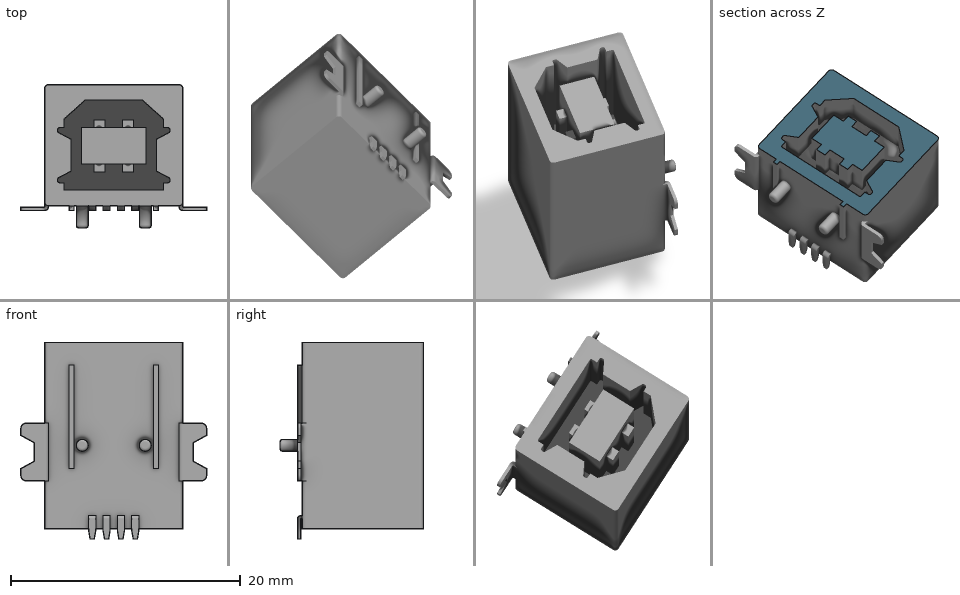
import cadquery as cq


body_width = 12.04
body_depth = 10.56
body_height = 16.25
body_edge_radius = 0.35

opening_depth = 9.0
opening_bottom = 1.35
opening_top = 9.23
opening_half_width = 4.34
opening_top_half_width = 2.47
shoulder_level = 7.55
bottom_corner_radius = 0.1

slot_middle = 4.4
slot_outer_offset = 2.4
slot_tip_offset = 2.0
slot_root_offset = 1.39
slot_tip_half_width = 4.89
slot_root_half_width = 3.72
slot_tip_radius = 0.17

tongue_width = 5.59
tongue_bottom = 3.64
tongue_top = 6.8
tongue_recess = 1.05
contact_width = 0.96
contact_pitch = 2.5
contact_thickness = 0.69
contact_recess = 3.0

sheet = 0.3
standoff = 0.12
sheet_outer_level = -(standoff + sheet)

tab_span = 16.2
tab_length = 5.05
tab_middle = 6.7
tab_corner_radius = 0.5
tab_leg = 0.35
tab_outer_bend_radius = tab_leg
tab_inner_bend_radius = 0.05
notch_depth = 1.17
notch_inner_length = 1.61
notch_outer_length = 2.9

rib_width = 0.43
rib_spacing = 7.34
rib_bottom = 5.25
rib_length = 9.02

peg_diameter = 1.05
peg_length = 1.94
peg_spacing = 5.49
peg_height = 7.29
peg_tip_radius = 0.24

pin_count = 4
pin_pitch = 1.25
pin_width = 0.63
pin_tip_width = 0.38
pin_top = 1.17
pin_taper_start = -0.14
overall_height = 17.15
pin_bottom = body_height - overall_height

embed = 0.17


def box(x_range, y_range, z_range):
    """Axis-aligned block between the given limits."""
    (x0, x1), (y0, y1), (z0, z1) = x_range, y_range, z_range
    block = cq.Workplane("XY").box(x1 - x0, y1 - y0, z1 - z0, centered=False)
    return block.translate((x0, y0, z0))


def centred(middle, width):
    """Limits of a span of the given width about its middle."""
    return middle - width / 2, middle + width / 2


def make_housing():
    return (
        box(centred(0, body_width), (0, body_depth), (0, body_height))
        .edges("|Z")
        .fillet(body_edge_radius)
    )


def make_opening():
    right_side = [
        (opening_half_width, opening_bottom),
        (opening_half_width, slot_middle - slot_outer_offset),
        (slot_tip_half_width, slot_middle - slot_outer_offset),
        (slot_tip_half_width, slot_middle - slot_tip_offset),
        (slot_root_half_width, slot_middle - slot_root_offset),
        (slot_root_half_width, slot_middle + slot_root_offset),
        (slot_tip_half_width, slot_middle + slot_tip_offset),
        (slot_tip_half_width, slot_middle + slot_outer_offset),
        (opening_half_width, slot_middle + slot_outer_offset),
        (opening_half_width, shoulder_level),
        (opening_top_half_width, opening_top),
    ]
    left_side = [(-x, y) for x, y in reversed(right_side)]
    opening = (
        cq.Workplane("XY", origin=(0, 0, body_height - opening_depth))
        .polyline(right_side + left_side)
        .close()
        .extrude(opening_depth)
    )
    tip_edges = opening.faces(">X or <X").edges("|Z")
    opening = tip_edges.fillet(slot_tip_radius)
    bottom_edges = opening.faces("<Y").edges("|Z")
    return bottom_edges.fillet(bottom_corner_radius)


def make_tongue():
    floor = body_height - opening_depth - embed
    tongue = box(
        centred(0, tongue_width),
        (tongue_bottom, tongue_top),
        (floor, body_height - tongue_recess),
    )
    for x in centred(0, contact_pitch):
        tongue = tongue.union(
            box(
                centred(x, contact_width),
                (tongue_bottom - contact_thickness, tongue_top + contact_thickness),
                (floor, body_height - contact_recess),
            )
        )
    return tongue


def make_tab():
    """Right-hand tab: L-shaped bent strip trimmed to a notched outline."""
    wall = body_width / 2
    tip = tab_span / 2
    bottom, top = centred(tab_middle, tab_length)
    flange = box((wall - tab_leg, tip), (sheet_outer_level, -standoff), (bottom, top))
    leg = box((wall - tab_leg, wall), (sheet_outer_level, body_edge_radius), (bottom, top))
    inner_bend = cq.selectors.NearestToPointSelector((wall, -standoff, tab_middle))
    strip = flange.union(leg)
    strip = strip.edges(inner_bend).fillet(tab_inner_bend_radius)
    strip = strip.edges("|Z and <X and <Y").fillet(tab_outer_bend_radius)
    strip = strip.edges("|Y and >X").fillet(tab_corner_radius)
    notch = (
        cq.Workplane("XZ")
        .polyline(
            [
                (tip, tab_middle - notch_outer_length / 2),
                (tip - notch_depth, tab_middle - notch_inner_length / 2),
                (tip - notch_depth, tab_middle + notch_inner_length / 2),
                (tip, tab_middle + notch_outer_length / 2),
            ]
        )
        .close()
        .extrude(-sheet_outer_level)
    )
    return strip.cut(notch)


def make_rib(x):
    return box(centred(x, rib_width), (sheet_outer_level, embed), (rib_bottom, rib_bottom + rib_length))


def make_peg(x):
    return (
        cq.Workplane("XZ", origin=(x, embed, peg_height))
        .circle(peg_diameter / 2)
        .extrude(peg_length + embed)
        .faces("<Y")
        .edges()
        .fillet(peg_tip_radius)
    )


def make_pin(x):
    """Bent lead: leaves the mounting face, turns down and narrows to its tip."""
    outer_bend_radius = sheet
    lead = (
        cq.Workplane("YZ", origin=(x - pin_width / 2, 0, 0))
        .moveTo(embed, pin_top)
        .lineTo(sheet_outer_level + outer_bend_radius, pin_top)
        .radiusArc((sheet_outer_level, pin_top - outer_bend_radius), -outer_bend_radius)
        .lineTo(sheet_outer_level, pin_bottom)
        .lineTo(-standoff, pin_bottom)
        .lineTo(-standoff, pin_top - sheet)
        .lineTo(embed, pin_top - sheet)
        .close()
        .extrude(pin_width)
    )
    outline = (
        cq.Workplane("XZ", origin=(x, embed, 0))
        .polyline(
            [
                (-pin_width / 2, pin_top),
                (-pin_width / 2, pin_taper_start),
                (-pin_tip_width / 2, pin_bottom),
                (pin_tip_width / 2, pin_bottom),
                (pin_width / 2, pin_taper_start),
                (pin_width / 2, pin_top),
            ]
        )
        .close()
        .extrude(embed - sheet_outer_level)
    )
    return lead.intersect(outline)


result = make_housing().cut(make_opening()).union(make_tongue())

tab = make_tab()
result = result.union(tab).union(tab.mirror("YZ"))

for x in centred(0, rib_spacing):
    result = result.union(make_rib(x))

for x in centred(0, peg_spacing):
    result = result.union(make_peg(x))

for index in range(pin_count):
    result = result.union(make_pin((index - (pin_count - 1) / 2) * pin_pitch))